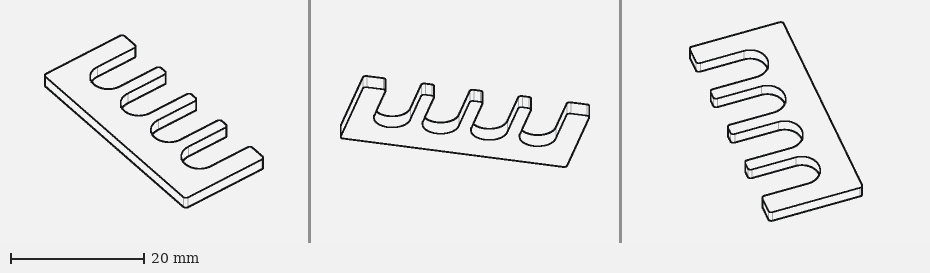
import cadquery as cq

length = 35.0
width = 15.0
thickness = 2.0
corner_radius = 0.5

slot_count = 4
slot_pitch = 7.5
slot_width = 5.5
slot_straight_depth = 7.5


def make_plate():
    return cq.Workplane("XY").box(length, width, thickness)


def make_slot(center_x):
    """Cutter for one slot: a straight channel ending in a half circle."""
    half_width = slot_width / 2
    open_y = width / 2
    round_y = open_y - slot_straight_depth
    return (
        cq.Workplane("XY")
        .moveTo(center_x - half_width, open_y)
        .lineTo(center_x - half_width, round_y)
        .threePointArc((center_x, round_y - half_width), (center_x + half_width, round_y))
        .lineTo(center_x + half_width, open_y)
        .close()
        .extrude(thickness / 2, both=True)
    )


def round_corners(body):
    """Round the outer corners and the finger tips."""
    finger_tips = body.faces(">Y").edges("|Z")
    back_corners = body.faces("<Y").edges("|Z")
    return finger_tips.add(back_corners).fillet(corner_radius)


comb = make_plate()
first_slot_x = -slot_pitch * (slot_count - 1) / 2
for index in range(slot_count):
    comb = comb.cut(make_slot(first_slot_x + index * slot_pitch))

result = round_corners(comb)